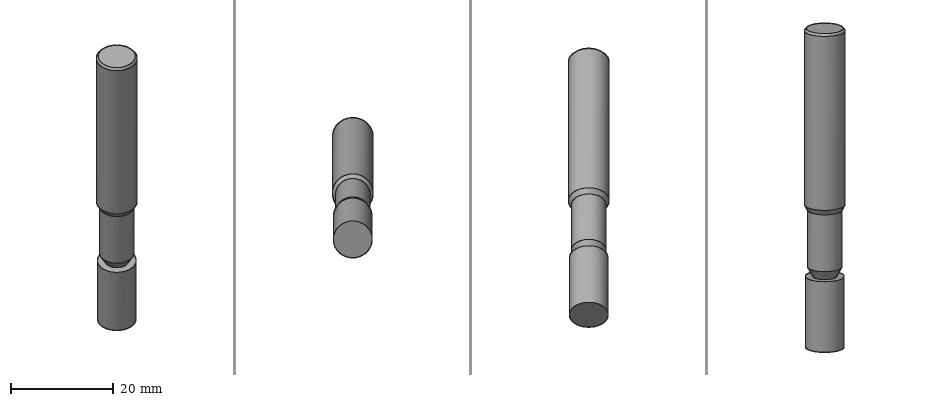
import cadquery as cq

total_height = 65.0
shank_diameter = 8.0
neck_diameter = 6.8
tip_diameter = 4.7
end_diameter = 7.6

end_top = 14.4
neck_bottom = 16.4
neck_top = 27.95
shank_bottom = 29.05

chamfer_height = 0.45
chamfer_width = 0.4


def make_pin():
    """Chamfered shank with a narrower neck that tapers to a flat tip."""
    shank_radius = shank_diameter / 2
    neck_radius = neck_diameter / 2
    tip_radius = tip_diameter / 2
    half_section = (
        cq.Workplane("XZ")
        .moveTo(0, end_top)
        .lineTo(tip_radius, end_top)
        .lineTo(neck_radius, neck_bottom)
        .lineTo(neck_radius, neck_top)
        .lineTo(shank_radius, shank_bottom)
        .lineTo(shank_radius, total_height - chamfer_height)
        .lineTo(shank_radius - chamfer_width, total_height)
        .lineTo(0, total_height)
        .close()
    )
    return half_section.revolve(360, (0, 0, 0), (0, 1, 0))


def make_end_cylinder():
    """Plain cylinder whose flat top carries the tip of the pin."""
    return cq.Workplane("XY").circle(end_diameter / 2).extrude(end_top)


pin = make_pin()
end_cylinder = make_end_cylinder()

result = cq.Compound.makeCompound([pin.val(), end_cylinder.val()])